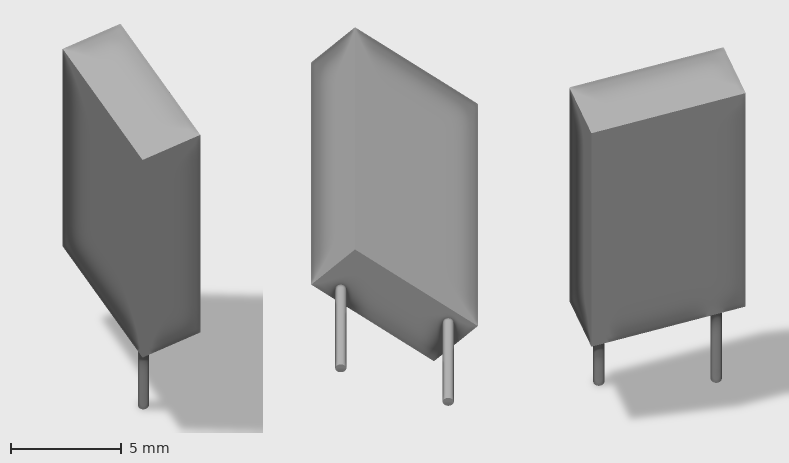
import cadquery as cq

total_height = 19.3
body_width = 7.4
body_depth = 3.0
body_height = 14.2

lead_diameter = 0.5
lead_pitch_x = 5.05
lead_offset_y = 1.6
lead_length = total_height - body_height

lead_positions = [
    (-lead_pitch_x / 2, lead_offset_y / 2),
    (lead_pitch_x / 2, -lead_offset_y / 2),
]


def make_body():
    """Rectangular block with its underside at Z = 0."""
    return cq.Workplane("XY").box(
        body_width, body_depth, body_height, centered=(True, True, False)
    )


def make_lead(x, y):
    """Round wire lead hanging from the underside of the body."""
    return cq.Workplane("XY").center(x, y).circle(lead_diameter / 2).extrude(-lead_length)


body = make_body()
leads = [make_lead(x, y) for x, y in lead_positions]

result = cq.Compound.makeCompound([body.val(), *[lead.val() for lead in leads]])